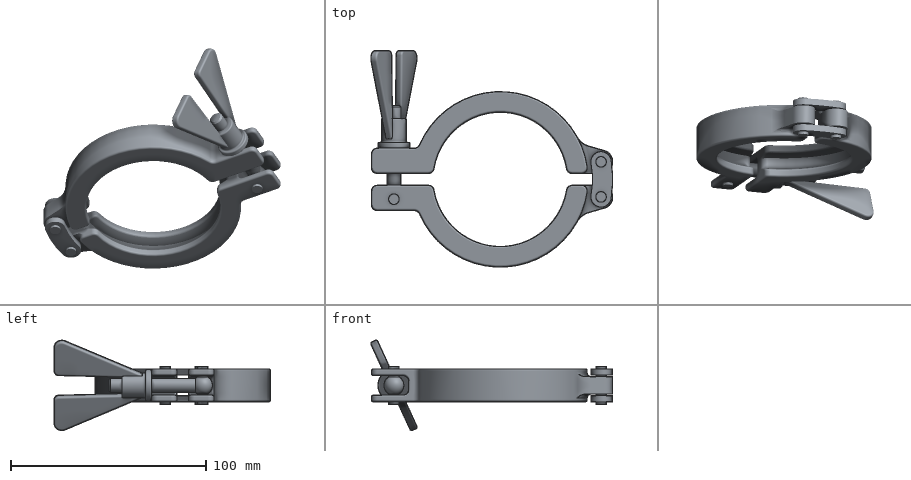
import cadquery as cq
import math

ring_outer_radius = 45.0
bore_radius = 34.4
body_height = 16.9
half_gap = 3.0
corner_radius = 3.0
edge_round = 1.0

groove_radius = 39.3
groove_floor_height = 5.5
groove_flank_angle = 20.0

arm_end_x = -66.0
arm_outer_y = 16.0
slot_height = 10.0
slot_end_x = -46.9
slot_corner_radius = 3.0

hinge_x = 51.66
hinge_y = 9.0
lug_radius = 6.0
lug_height = 9.0
lug_flank_angle = 16.0
lug_root_x = 41.0
lug_flank_round = 10.0
lug_blend_radius = 2.0
lug_blend_end_angle = 35.0
link_radius = 5.2
link_inner_z = 5.3
link_outer_z = body_height / 2
pin_radius = 2.7
pin_length = 19.4

bolt_x = -54.5
bolt_radius = 3.6
bolt_tip_y = 37.9
bolt_tip_chamfer = 0.8
bolt_pin_y = -10.15
ball_radius = 5.1
ball_height = 9.3

flange_radius = 8.2
flange_thickness = 3.0
nut_edge_round = 0.7
hub_radius = 6.35
hub_top_y = 31.2
wing_angle = 24.7
wing_thickness = 3.9
wing_corner_reach = 27.2
wing_tip_y = 65.96
wing_root_y = 20.5
wing_root_reach = 6.2
wing_inner_root = 5.2
wing_inner_tip = 6.1
wing_inner_round = 2.5
wing_outer_round = 4.0
wing_edge_round = 1.0


def cylinder_y(radius, y_start, y_end):
    """Cylinder on the bolt axis."""
    disc = cq.Workplane("XZ", origin=(bolt_x, y_start, 0)).circle(radius)
    return disc.extrude(-(y_end - y_start))


def make_pin(x, y):
    return cq.Workplane("XY").center(x, y).circle(pin_radius).extrude(pin_length / 2, both=True)


def ring_and_arm():
    """Half ring with its arm, rounded all over."""
    bore_x = math.sqrt(bore_radius**2 - half_gap**2)
    outer_x = math.sqrt(ring_outer_radius**2 - half_gap**2)
    arm_root_x = -math.sqrt(ring_outer_radius**2 - arm_outer_y**2)
    body = (
        cq.Workplane("XY")
        .moveTo(arm_end_x, half_gap)
        .lineTo(-bore_x, half_gap)
        .threePointArc((0, bore_radius), (bore_x, half_gap))
        .lineTo(outer_x, half_gap)
        .threePointArc((0, ring_outer_radius), (arm_root_x, arm_outer_y))
        .lineTo(arm_end_x, arm_outer_y)
        .close()
        .extrude(body_height / 2, both=True)
        .edges("|Z")
        .fillet(corner_radius)
    )
    return body.faces("|Z").edges().fillet(edge_round)


def cut_bolt_slot(body):
    """Slot open towards the arm end, with a rounded mouth."""
    slot_length = slot_end_x - arm_end_x
    arm_middle_y = (half_gap + arm_outer_y) / 2
    slot = (
        cq.Workplane("XY")
        .box(2 * slot_length, 2 * arm_outer_y, slot_height)
        .edges("|Y and >X")
        .fillet(slot_corner_radius)
        .translate((arm_end_x, arm_middle_y, 0))
    )
    body = body.cut(slot)
    mouth_edge = cq.selectors.NearestToPointSelector((bolt_x, half_gap, slot_height / 2))
    return body.edges(mouth_edge).fillet(edge_round)


def groove_half_height(radius):
    """Half the groove height where its sloping flanks reach the given radius."""
    slope = math.tan(math.radians(groove_flank_angle))
    return groove_floor_height / 2 + (groove_radius - radius) * slope


def make_groove():
    mouth_radius = bore_radius - corner_radius
    profile = [
        (groove_radius, groove_half_height(groove_radius)),
        (mouth_radius, groove_half_height(mouth_radius)),
        (mouth_radius, -groove_half_height(mouth_radius)),
        (groove_radius, -groove_half_height(groove_radius)),
    ]
    return cq.Workplane("XZ").polyline(profile).close().revolve(360, (0, 0, 0), (0, 1, 0))


def lug_plan(height):
    """Plan of the lug standing on the ring, with a flank tangent to the round around the pin."""
    slope = math.radians(lug_flank_angle)
    tangent_x = hinge_x + lug_radius * math.sin(slope)
    tangent_y = hinge_y + lug_radius * math.cos(slope)
    root_y = tangent_y + (tangent_x - lug_root_x) * math.tan(slope)
    lug = (
        cq.Workplane("XY")
        .moveTo(lug_root_x, half_gap)
        .lineTo(hinge_x, hinge_y - lug_radius)
        .threePointArc((hinge_x + lug_radius, hinge_y), (tangent_x, tangent_y))
        .lineTo(lug_root_x, root_y)
        .close()
        .extrude(height / 2, both=True)
    )
    ring = cq.Workplane("XY").circle(ring_outer_radius).circle(groove_radius).extrude(height / 2, both=True)
    flank_foot = cq.selectors.NearestToPointSelector((lug_root_x, root_y, 0))
    joined = ring.union(lug).edges("|Z").edges(flank_foot).fillet(lug_flank_round)
    lug_side = cq.Workplane("XY").box(hinge_x, hinge_x, height, centered=(False, False, True))
    return joined.intersect(lug_side.translate((lug_root_x - lug_flank_round, half_gap, 0)))


def blend_sweep(center_x, center_y, wall_radius, start_angle, end_angle):
    """Concave blend between a round wall and the lug top, swept about the wall's own axis."""
    lug_top = lug_height / 2
    mid_offset = lug_blend_radius * (1 - math.sqrt(0.5))
    profile = (
        cq.Workplane("XZ")
        .moveTo(wall_radius - edge_round, lug_top)
        .lineTo(wall_radius + lug_blend_radius, lug_top)
        .threePointArc(
            (wall_radius + mid_offset, lug_top + mid_offset),
            (wall_radius, lug_top + lug_blend_radius),
        )
        .lineTo(wall_radius - edge_round, lug_top + lug_blend_radius)
        .close()
    )
    sweep = profile.revolve(end_angle - start_angle, (0, 0, 0), (0, 1, 0))
    return sweep.rotate((0, 0, 0), (0, 0, 1), start_angle).translate((center_x, center_y, 0))


def make_lug():
    """Hinge lug, blended above and below into the ring wall and its rounded corner."""
    lug = lug_plan(lug_height)
    corner_y = half_gap + corner_radius
    corner_x = math.sqrt((ring_outer_radius - corner_radius) ** 2 - corner_y**2)
    seam_angle = math.degrees(math.atan2(corner_y, corner_x))
    ring_blend = blend_sweep(0, 0, ring_outer_radius, seam_angle, lug_blend_end_angle)
    corner_blend = blend_sweep(corner_x, corner_y, corner_radius, -90, seam_angle)
    tall_plan = lug_plan(body_height)
    for blend in (ring_blend, corner_blend):
        upper = blend.intersect(tall_plan)
        lug = lug.union(upper).union(upper.mirror("XY"))
    return lug


def cut_groove(body):
    """Groove with rounded exits at the gap and rounded lips along the bore."""
    body = body.cut(make_groove())
    for side in (-1, 1):
        exit_edge = cq.selectors.NearestToPointSelector((side * groove_radius, half_gap, 0))
        body = body.edges("|Z").edges(exit_edge).fillet(corner_radius)
    lip_x = bore_radius + edge_round
    lip_y = half_gap + edge_round
    lip_z = groove_half_height(lip_x)
    for side in (-1, 1):
        lip_edge = cq.selectors.NearestToPointSelector((lip_x, lip_y, side * lip_z))
        body = body.edges(lip_edge).fillet(edge_round)
    return body


def make_clamp_half():
    body = cut_bolt_slot(ring_and_arm()).union(make_lug())
    return cut_groove(body)


def make_links():
    """Two links bent about the ring axis, one above and one below the lugs."""
    path_radius = math.hypot(hinge_x, hinge_y)
    link = (
        cq.Workplane("XY")
        .moveTo(hinge_x, -hinge_y)
        .threePointArc((path_radius, 0), (hinge_x, hinge_y))
        .offset2D(link_radius)
        .extrude(link_outer_z - link_inner_z)
        .translate((0, 0, link_inner_z))
    )
    return link.union(link.mirror("XY"))


def make_bolt():
    """Swing bolt with a ball end that is flattened above and below."""
    shank = cylinder_y(bolt_radius, bolt_pin_y, bolt_tip_y).faces(">Y").chamfer(bolt_tip_chamfer)
    flats = cq.Workplane("XY").box(3 * ball_radius, 3 * ball_radius, ball_height)
    ball = cq.Workplane("XY").sphere(ball_radius).intersect(flats)
    return shank.union(ball.translate((bolt_x, bolt_pin_y, 0)))


def make_wing():
    """One upright wing, rounded at its tip corners and along its edges."""
    wing = (
        cq.Workplane("YZ")
        .moveTo(wing_root_y, 0)
        .lineTo(wing_root_y, wing_root_reach)
        .lineTo(wing_tip_y, wing_corner_reach)
        .lineTo(wing_tip_y, wing_inner_tip)
        .lineTo(hub_top_y, wing_inner_root)
        .lineTo(hub_top_y, 0)
        .close()
        .extrude(wing_thickness / 2, both=True)
    )
    outer_corner = cq.selectors.NearestToPointSelector((0, wing_tip_y, wing_corner_reach))
    inner_corner = cq.selectors.NearestToPointSelector((0, wing_tip_y, wing_inner_tip))
    wing = wing.edges("|X").edges(outer_corner).fillet(wing_outer_round)
    wing = wing.edges("|X").edges(inner_corner).fillet(wing_inner_round)
    return wing.faces("|X").edges().fillet(wing_edge_round)


def make_wing_nut():
    """Flanged hub with two opposite wings, turned about the bolt axis."""
    flange_top_y = arm_outer_y + flange_thickness
    flange = cylinder_y(flange_radius, arm_outer_y, flange_top_y)
    hub = cylinder_y(hub_radius, arm_outer_y, hub_top_y)
    nut = flange.union(hub).edges("%CIRCLE").fillet(nut_edge_round)
    for turn in (0, 180):
        wing = make_wing().rotate((0, 0, 0), (0, 1, 0), turn - wing_angle)
        nut = nut.union(wing.translate((bolt_x, 0, 0)))
    return nut


clamp_half = make_clamp_half()
result = clamp_half.union(clamp_half.mirror("XZ"))
result = result.union(make_links()).union(make_bolt()).union(make_wing_nut())
pin_places = [(hinge_x, hinge_y), (hinge_x, -hinge_y), (bolt_x, bolt_pin_y)]
for pin_x, pin_y in pin_places:
    result = result.union(make_pin(pin_x, pin_y))